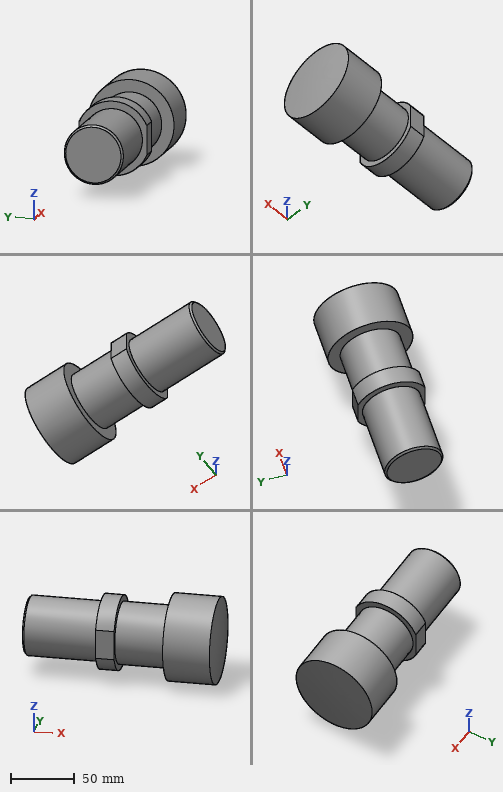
import cadquery as cq

total_length = 154.8
shank_length = 59.9
collar_width = 14.9
head_start = 115.3
dome_height = 1.9

shank_diameter = 48.0
collar_diameter = 60.0
collar_across_flats = 55.1
neck_diameter = 50.0
head_diameter = 70.0
shank_chamfer = 1.5

collar_end = shank_length + collar_width
head_edge = total_length - dome_height
head_radius = head_diameter / 2


def cylinder(start, end, diameter):
    """Solid cylinder on the X axis between two X positions."""
    return cq.Workplane("YZ", origin=(start, 0, 0)).circle(diameter / 2).extrude(end - start)


def flatted_collar():
    """Round collar with two parallel flats facing -Y and +Y."""
    flats = cq.Workplane("XY").box(
        collar_width, collar_across_flats, collar_diameter, centered=(False, True, True)
    ).translate((shank_length, 0, 0))
    return cylinder(shank_length, collar_end, collar_diameter).intersect(flats)


def domed_head():
    """Cylindrical head whose +X end is a shallow spherical dome."""
    dome_radius = (head_radius**2 + dome_height**2) / (2 * dome_height)
    dome_mid_radius = head_radius / 2
    dome_mid_x = total_length - dome_radius + (dome_radius**2 - dome_mid_radius**2) ** 0.5
    return (
        cq.Workplane("XY")
        .moveTo(head_start, 0)
        .lineTo(head_start, head_radius)
        .lineTo(head_edge, head_radius)
        .threePointArc((dome_mid_x, dome_mid_radius), (total_length, 0))
        .close()
        .revolve(360, (0, 0, 0), (1, 0, 0))
    )


shank = cylinder(0, shank_length, shank_diameter).faces("<X").chamfer(shank_chamfer)
neck = cylinder(collar_end, head_start, neck_diameter)

result = shank.union(flatted_collar()).union(neck).union(domed_head())